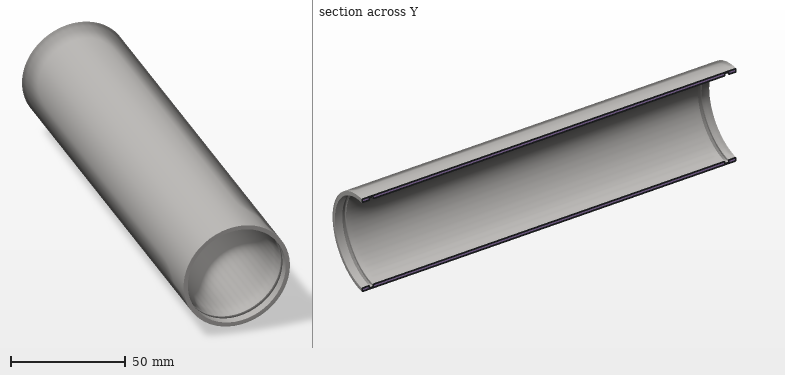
import cadquery as cq

length = 190.5
outer_diameter = 50.0
bore_diameter = 46.0
groove_diameter = 48.5
groove_width = 1.9
end_lip_length = 3.8


def ring(start_x, ring_length, outside_diameter):
    """Ring around the X axis, from start_x towards +X, with the bore as its hole."""
    return (
        cq.Workplane("YZ", origin=(start_x, 0, 0))
        .circle(outside_diameter / 2)
        .circle(bore_diameter / 2)
        .extrude(ring_length)
    )


result = ring(-length / 2, length, outer_diameter)

left_groove_x = -length / 2 + end_lip_length
right_groove_x = length / 2 - end_lip_length - groove_width
for groove_x in (left_groove_x, right_groove_x):
    result = result.cut(ring(groove_x, groove_width, groove_diameter))